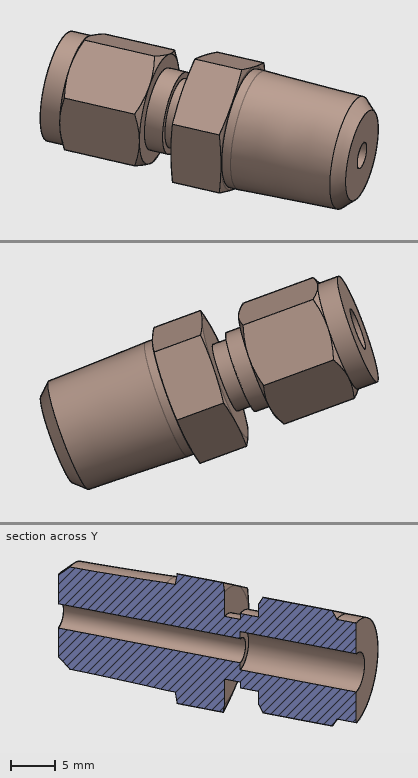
import cadquery as cq
import math


collar_end = 2.35
nut_end = 11.95
shoulder_end = 14.13
neck_end = 16.0
body_hex_end = 22.05
taper_start = 23.1
tip_chamfer_start = 34.9
total_length = 36.32

nut_across_flats = 12.7
nut_chamfer_angle = 30.0
body_across_flats = 14.27
body_chamfer_angle = 10.0

collar_diameter = nut_across_flats
shoulder_diameter = 9.5
neck_diameter = 8.03
taper_large_diameter = 13.73
taper_small_diameter = 13.05
tip_diameter = 10.45

bore_diameter = 3.0
socket_diameter = 4.8
socket_depth = shoulder_end


def revolve_about_x(points):
    """Solid of revolution of an (x, radius) outline about the X axis."""
    outline = cq.Workplane("XY").polyline(points).close()
    return outline.revolve(360, (0, 0, 0), (1, 0, 0))


def cylinder(start, end, diameter):
    return cq.Workplane("YZ", origin=(start, 0, 0)).circle(diameter / 2).extrude(end - start)


def chamfered_hexagon(start, end, across_flats, chamfer_angle):
    """Hexagonal prism whose corners are turned down to a cone at both ends."""
    flat_radius = across_flats / 2
    corner_radius = flat_radius / math.cos(math.radians(30))
    chamfer_length = (corner_radius - flat_radius) * math.tan(math.radians(chamfer_angle))
    prism = (
        cq.Workplane("YZ", origin=(start, 0, 0))
        .polygon(6, 2 * corner_radius)
        .extrude(end - start)
        .rotate((0, 0, 0), (1, 0, 0), 90)
    )
    turned_envelope = revolve_about_x([
        (start, 0),
        (start, flat_radius),
        (start + chamfer_length, corner_radius),
        (end - chamfer_length, corner_radius),
        (end, flat_radius),
        (end, 0),
    ])
    return prism.intersect(turned_envelope)


collar = cylinder(0, collar_end, collar_diameter)
nut = chamfered_hexagon(collar_end, nut_end, nut_across_flats, nut_chamfer_angle)
shoulder = cylinder(nut_end, shoulder_end, shoulder_diameter)
neck = cylinder(shoulder_end, neck_end, neck_diameter)

body_hex = chamfered_hexagon(neck_end, body_hex_end, body_across_flats, body_chamfer_angle)
tapered_end = revolve_about_x([
    (body_hex_end, 0),
    (body_hex_end, taper_large_diameter / 2),
    (taper_start, taper_large_diameter / 2),
    (tip_chamfer_start, taper_small_diameter / 2),
    (total_length, tip_diameter / 2),
    (total_length, 0),
])

bore = cylinder(0, total_length, bore_diameter)
socket = cylinder(0, socket_depth, socket_diameter)

result = (
    collar.union(nut)
    .union(shoulder)
    .union(neck)
    .union(body_hex)
    .union(tapered_end)
    .cut(bore)
    .cut(socket)
)